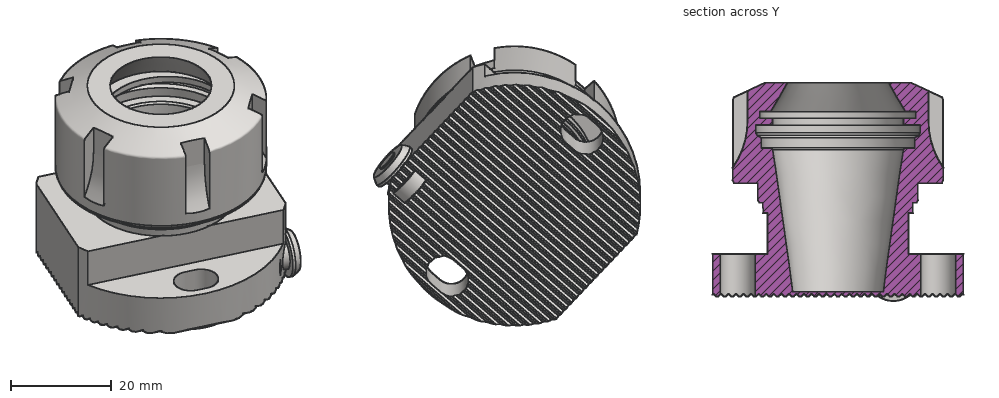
import cadquery as cq
import math

flange_diameter = 50.0
flange_top = 8.5
across_flats = 44.0
block_width = 28.0
block_top = 16.6

slot_width = 6.8
slot_length = 9.0
slot_offset = 19.9

groove_pitch = 1.5
groove_depth = 0.55

neck_diameter = 30.0
collar_diameter = 32.0
collar_bottom = 18.6
collar_chamfer_height = 0.5
collar_chamfer_width = 0.3

nut_diameter = 42.0
nut_bottom = 22.5
nut_top = 42.5
nut_face_diameter = 29.2
nut_cone_angle = 25.0
nut_top_fillet = 0.6
nut_bottom_chamfer_height = 0.65
nut_bottom_chamfer_width = 0.25

notch_count = 6
notch_width = 5.0
notch_floor_radius = 18.0
notch_bottom = 25.5
notch_runout_radius = 16.0

mouth_diameter = 20.15
flare_angle = 30.0
flare_depth = 5.75
groove_diameter = 31.0
lip_top = 35.45
lip_bottom = 34.05
lip_diameter = 26.0
lip_shift = 1.5

relief_diameter = 32.7
thread_major_diameter = 32.1
thread_minor_diameter = 30.5
thread_chamfer_angle = 30.0
thread_top = 31.55
relief_angle = 60.0

seat_top = 29.55
seat_diameter = 26.0
seat_chamfer = 0.4
seat_angle = 8.0
seat_floor = 1.0

screw_x = 11.0
screw_z = 4.1
head_diameter = 10.0
head_rim = 0.6
head_height = 2.0
head_face_diameter = 8.4
head_bulge = 0.05
shank_diameter = 6.8
pad_diameter = 4.2
pad_height = 0.3
disc_inner_y = 16.45
disc_outer_y = 19.5


def cylinder(diameter, bottom, top):
    return cq.Workplane("XY").workplane(offset=bottom).circle(diameter / 2).extrude(top - bottom)


def flange_and_block():
    body = cylinder(flange_diameter, 0, block_top)
    body = body.intersect(cq.Workplane("XY").box(flange_diameter, across_flats, 2 * block_top))
    side_step = (
        cq.Workplane("XY")
        .box(flange_diameter, flange_diameter, block_top, centered=(False, True, False))
        .translate((block_width / 2, 0, flange_top))
    )
    return body.cut(side_step).cut(side_step.mirror("YZ"))


def mounting_slots():
    return (
        cq.Workplane("XY")
        .pushPoints([(-slot_offset, 0), (slot_offset, 0)])
        .slot2D(slot_length, slot_width, 90)
        .extrude(flange_top)
    )


def base_grooves():
    count = 2 * math.ceil(flange_diameter / groove_pitch / 2)
    profile = cq.Workplane("XZ", origin=(0, flange_diameter / 2, 0))
    for i in range(count):
        x = (i - (count - 1) / 2) * groove_pitch
        profile = (
            profile.moveTo(x - groove_depth, 0)
            .lineTo(x + groove_depth, 0)
            .lineTo(x, groove_depth)
            .close()
        )
    return profile.extrude(flange_diameter)


def collar():
    radius = collar_diameter / 2
    return (
        cq.Workplane("XZ")
        .moveTo(0, block_top)
        .lineTo(neck_diameter / 2, block_top)
        .lineTo(neck_diameter / 2, collar_bottom)
        .lineTo(radius - collar_chamfer_width, collar_bottom)
        .lineTo(radius, collar_bottom + collar_chamfer_height)
        .lineTo(radius, seat_top)
        .lineTo(0, seat_top)
        .close()
        .revolve(360, (0, 0, 0), (0, 1, 0))
    )


def nut():
    radius = nut_diameter / 2
    face_radius = nut_face_diameter / 2
    shoulder = nut_top - (radius - face_radius) * math.tan(math.radians(nut_cone_angle))
    blank = (
        cq.Workplane("XZ")
        .moveTo(0, nut_bottom)
        .lineTo(radius - nut_bottom_chamfer_width, nut_bottom)
        .lineTo(radius, nut_bottom + nut_bottom_chamfer_height)
        .lineTo(radius, shoulder)
        .lineTo(face_radius, nut_top)
        .lineTo(0, nut_top)
        .close()
        .revolve(360, (0, 0, 0), (0, 1, 0))
    )
    rim = cq.selectors.NearestToPointSelector((0, 0, shoulder))
    blank = blank.edges("%CIRCLE").edges(rim).fillet(nut_top_fillet)
    for i in range(notch_count):
        blank = blank.cut(spanner_notch().rotate((0, 0, 0), (0, 0, 1), i * 360 / notch_count))
    return blank


def spanner_notch():
    radius = nut_diameter / 2
    run_out = radius - notch_floor_radius
    arc_rise = math.sqrt(notch_runout_radius**2 - (notch_runout_radius - run_out) ** 2)
    half_angle = math.asin(arc_rise / notch_runout_radius) / 2
    arc_top = notch_bottom + arc_rise
    arc_middle = (
        notch_floor_radius + notch_runout_radius * (1 - math.cos(half_angle)),
        arc_top - notch_runout_radius * math.sin(half_angle),
    )
    return (
        cq.Workplane("XZ", origin=(0, notch_width / 2, 0))
        .moveTo(radius, notch_bottom)
        .threePointArc(arc_middle, (notch_floor_radius, arc_top))
        .lineTo(notch_floor_radius, nut_top)
        .lineTo(radius + run_out, nut_top)
        .lineTo(radius + run_out, notch_bottom)
        .close()
        .extrude(notch_width)
    )


def mouth():
    flare_bottom = nut_top - flare_depth
    flare_radius = mouth_diameter / 2 + flare_depth * math.tan(math.radians(flare_angle))
    flare = (
        cq.Workplane("XZ")
        .moveTo(0, lip_top)
        .lineTo(groove_diameter / 2, lip_top)
        .lineTo(groove_diameter / 2, flare_bottom)
        .lineTo(flare_radius, flare_bottom)
        .lineTo(mouth_diameter / 2, nut_top)
        .lineTo(0, nut_top)
        .close()
        .revolve(360, (0, 0, 0), (0, 1, 0))
    )
    lip_hole = cylinder(lip_diameter, lip_bottom, lip_top).translate((0, lip_shift, 0))
    return flare.union(lip_hole)


def cavity():
    minor_radius = thread_minor_diameter / 2
    major_radius = thread_major_diameter / 2
    relief_radius = relief_diameter / 2
    chamfer_top = thread_top + (major_radius - minor_radius) * math.tan(math.radians(thread_chamfer_angle))
    relief_bottom = chamfer_top + (relief_radius - major_radius) * math.tan(math.radians(relief_angle))
    seat_radius = seat_diameter / 2
    taper_top = seat_top - seat_chamfer
    floor_radius = seat_radius - (taper_top - seat_floor) * math.tan(math.radians(seat_angle))
    return (
        cq.Workplane("XZ")
        .moveTo(0, seat_floor)
        .lineTo(floor_radius, seat_floor)
        .lineTo(seat_radius, taper_top)
        .lineTo(seat_radius + seat_chamfer, seat_top)
        .lineTo(minor_radius, seat_top)
        .lineTo(minor_radius, thread_top)
        .lineTo(major_radius, chamfer_top)
        .lineTo(relief_radius, relief_bottom)
        .lineTo(relief_radius, lip_bottom)
        .lineTo(0, lip_bottom)
        .close()
        .revolve(360, (0, 0, 0), (0, 1, 0))
    )


def side_screw():
    seat_y = across_flats / 2
    face_y = seat_y + head_height
    pad_y = face_y + pad_height
    rim_y = seat_y + head_rim
    profile = (
        cq.Workplane("XY")
        .moveTo(0, disc_inner_y)
        .lineTo(head_diameter / 2, disc_inner_y)
        .lineTo(head_diameter / 2, disc_outer_y)
        .lineTo(shank_diameter / 2, disc_outer_y)
        .lineTo(shank_diameter / 2, seat_y)
        .lineTo(head_diameter / 2, seat_y)
        .lineTo(head_diameter / 2, rim_y)
        .sagittaArc((head_face_diameter / 2, face_y), -head_bulge)
        .lineTo(pad_diameter / 2, face_y)
        .lineTo(pad_diameter / 2, pad_y)
        .lineTo(0, pad_y)
        .close()
    )
    return profile.revolve(360, (0, 0, 0), (0, 1, 0)).translate((screw_x, 0, screw_z))


body = flange_and_block().cut(mounting_slots()).cut(base_grooves())
body = body.union(collar()).union(nut()).union(side_screw())
result = body.cut(mouth()).cut(cavity()).solids()